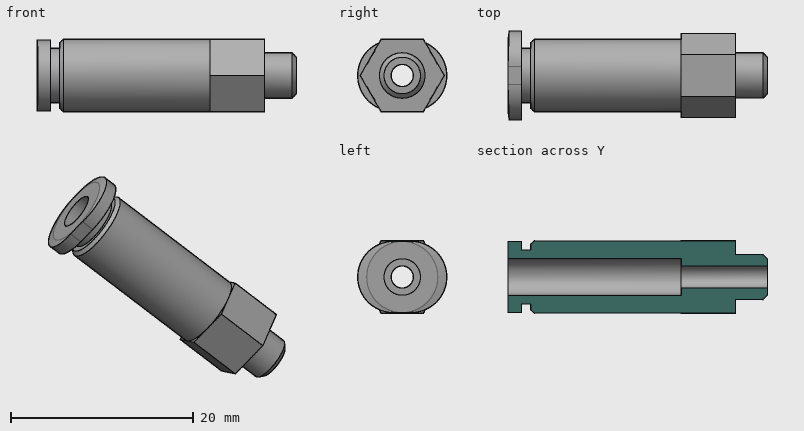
import cadquery as cq
import math

collar_end = 1.5
body_start = 2.5
hex_start = 19.0
hex_end = 25.0
spigot_end = 28.5

collar_width = 9.8
collar_height = 7.8
collar_face_diameter = collar_height
collar_face_setback = 0.15

neck_diameter = 6.0
body_diameter = 8.0
body_chamfer = 0.4
hex_sides = 6
hex_across_flats = 8.0
spigot_diameter = 5.0
spigot_chamfer = 0.5

tube_bore_diameter = 4.0
tube_bore_depth = hex_start
through_bore_diameter = 2.4


def section_plane(x):
    """Sketch plane across the part at x: local x is Y, local y is Z."""
    return cq.Workplane("YZ", origin=(x, 0, 0))


def cylinder(diameter, x_start, x_end):
    return section_plane(x_start).circle(diameter / 2).extrude(x_end - x_start)


def make_collar():
    obround = section_plane(0).slot2D(collar_width, collar_height).extrude(collar_end)
    outer_radius = collar_width / 2
    envelope = (
        cq.Workplane("XY")
        .moveTo(0, 0)
        .lineTo(0, collar_face_diameter / 2)
        .lineTo(collar_face_setback, outer_radius)
        .lineTo(collar_end, outer_radius)
        .lineTo(collar_end, 0)
        .close()
        .revolve(360, (0, 0, 0), (1, 0, 0))
    )
    return obround.intersect(envelope)


def make_body():
    return cylinder(body_diameter, body_start, hex_start).faces("<X").chamfer(body_chamfer)


def make_hex():
    corner_radius = hex_across_flats / 2 / math.cos(math.pi / hex_sides)
    corners = []
    for index in range(hex_sides):
        angle = index * 2 * math.pi / hex_sides
        corners.append((corner_radius * math.cos(angle), corner_radius * math.sin(angle)))
    return section_plane(hex_start).polyline(corners).close().extrude(hex_end - hex_start)


def make_spigot():
    return cylinder(spigot_diameter, hex_end, spigot_end).faces(">X").chamfer(spigot_chamfer)


def make_bore():
    tube_bore = cylinder(tube_bore_diameter, 0, tube_bore_depth)
    through_bore = cylinder(through_bore_diameter, 0, spigot_end)
    return tube_bore.union(through_bore)


neck = cylinder(neck_diameter, collar_end, body_start)
result = (
    make_collar()
    .union(neck)
    .union(make_body())
    .union(make_hex())
    .union(make_spigot())
    .cut(make_bore())
)